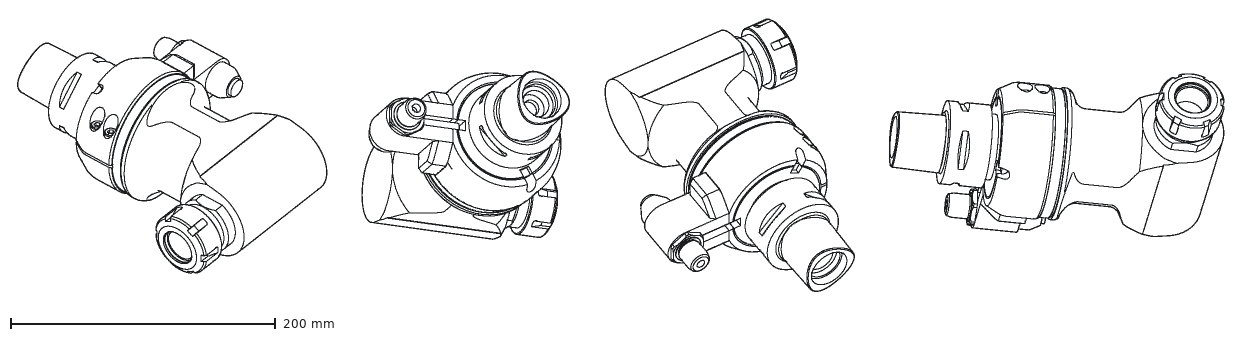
import cadquery as cq
import math


COLLAR_START = 38.2
COLLAR_END = 70.3
RING_FRONT = 76.2
RING_BACK = 115.6
RIM_START = 125.0
WAIST_START = 143.8
WAIST_END = 170.0
HEAD_START = 182.5
HEAD_END = 245.0

SHANK_RADIUS = 21.0
SHANK_TAPER = 0.025
LOBE_OFFSET = 1.7
LOBE_SAMPLES = 36
SHANK_LENGTH = 36.5
SHANK_END_CHAMFER = 0.7
COLLAR_RADIUS = 31.5
NECK_RADIUS = 25.0
RELIEF_FRONT_RADIUS = 22.5
RELIEF_BACK_RADIUS = 24.0
SHANK_BORES = [(31.4, 7.4), (28.0, 12.2), (21.0, 22.0), (12.5, 27.0)]
NOTCH_FLOOR = 28.0
NOTCH_FLOOR_WIDTH = 4.2
NOTCH_TOP_WIDTH = 8.0
NOTCH_X = 50.0
NOTCH_ANGLES = [45, 135, 225, 315]

RING_RADIUS = 51.0
RING_FRONT_RADIUS = 44.5
RING_BORE = 38.0
RING_CONE_LENGTH = 10.8
RING_CONE_RADIUS = 50.2
RING_BLEND_LENGTH = 14.7
RING_BACK_CHAMFER = (2.0, 1.0)
BORE_CHAMFER = 1.2
SLIT_WIDTH = 2.2
ARM_SEAT = 42.1

PIN_DIAMETER = 8.0
PIN_RADIUS = PIN_DIAMETER / 2
PIN_RECESS = 4.2
PIN_START = 35.3
PIN_END = 66.2
PIN_GROOVE_DEPTH = PIN_RECESS + PIN_DIAMETER
KEY_GROOVE_DEPTH = 8.5
GROOVE_COUNT = 3
GROOVE_START = 31.8
HUB_NOTCH_DEPTH = 3.7

SCREW_X = [93.8, 107.0]
SCREW_Y = -40.7
SCREW_TOP = 24.0
SCREW_HEAD_DIAMETER = 10.0
SCREW_HEAD_HEIGHT = 6.1
SCREW_HEAD_CHAMFER = 0.7
SCREW_SHANK_RADIUS = 2.5
SCREW_END = -19.5
SOCKET_WIDTH = 4.2
SOCKET_DEPTH = 3.0
POCKET_RADIUS = 5.6

BAND_RADIUS = 49.2
RIM_GROOVE_RADIUS = 48.5
RIM_GROOVE_WIDTH = 1.5
RIM_RADIUS = 50.2
WAIST_RADIUS = 36.0
FLAT_HEIGHT = 34.0
HEAD_HALF_LENGTH = 49.0
HEAD_RADIUS = 31.0
FLAT_END = 199.2
FLAT_STEP = 0.5
RIM_CUT_START = 127.6
RIM_CUT_END = 133.3
RIM_CUT_FILLET = 3.0
RIM_EDGE = (128.1, RIM_RADIUS)
RIM_ROUND_MID = (130.8, 48.5)
RIM_ROUND_END = (132.8, 45.0)
RIM_CONE_END = (135.5, 40.2)
WAIST_BLEND_MID = (139.0, 37.2)
FLARE_MID = (174.5, 37.5)
FLARE_END = (177.6, 40.7)
SHOULDER_POINTS = [(187.2, 51.7), (192.8, 54.5), (199.2, 57.0), (209.2, 59.0)]
RAMP_START = (205.0, 33.3)
RAMP_END_ANGLE = 78
SPINDLE_X = HEAD_END - HEAD_RADIUS

SPINDLE_FLANGE_RADIUS = 22.5
SPINDLE_FLANGE_END = 59.5
SPINDLE_CHAMFER = 2.5
SPINDLE_NECK_RADIUS = 20.0
SPINDLE_FLAT = 20.3
NUT_BACK = 67.4
NUT_FRONT = 90.5
NUT_RADIUS = 25.0
NUT_FACE_RADIUS = 18.9
NUT_SHOULDER = (23.8, 87.5)
NUT_RIM_END = 86.0
NUT_BACK_CHAMFER = 0.7
NUT_BORES = [(14.0, 89.0), (13.5, 86.2), (12.2, 67.4)]
NUT_SLOT_COUNT = 6
NUT_SLOT_WIDTH = 6.0
NUT_SLOT_FLOOR = 21.8
NUT_SLOT_START = 72.3
NUT_SLOT_FULL = 80.8

ARM_BACK = 110.2
ARM_HALF_WIDTH = 15.2
ARM_TIP = 96.3
ARM_ROUND_START = 82.3
WING_HALF_WIDTH = 29.5
WING_TOP = 57.3
SHOULDER_RAMP_END = (86.5, 27.0)
SHOULDER_END_X = 90.0
WING_CHAMFER_LENGTH = 3.7
WING_CHAMFER_WIDTH = 2.5
NOZZLE_Y = 80.4
HEX_ACROSS_FLATS = 26.7
HEX_ROUND_RADIUS = 14.7
HEX_THICKNESS = 3.7
HEX_CHAMFER = 1.0
HEX_RECESS_RADIUS = 11.0
HEX_RECESS_DEPTH = 0.7
NOZZLE_RADIUS = 9.3
NOZZLE_START = 54.6
NOZZLE_FACE_RADIUS = 6.9
NOZZLE_RIM = (55.5, 8.3)
NOZZLE_CHAMFER_END = 59.3
NOZZLE_ROOT_RADIUS = 8.5
NOZZLE_ROOT_LENGTH = 1.2
NOZZLE_BORES = [(6.5, 7.4), (2.5, 12.2)]
PLUG_RADIUS = 13.0
PLUG_CONE_START = [(118.8, PLUG_RADIUS), (120.0, 12.7)]
PLUG_CONE_END = (127.5, 8.8)
PLUG_TIP_RADIUS = 7.0
PLUG_END = 130.3


def turned_x(points, axis_y=0.0):
    """Solid of revolution about a line parallel to X, from (x, radius) outline points."""
    outline = cq.Workplane("XY").polyline(points).close()
    return outline.revolve(360, (0, 0, 0), (1, 0, 0)).translate((0, axis_y, 0))


def turned_spindle(points):
    """Solid of revolution about the spindle axis, from (radius, distance along -Y) points."""
    outline = cq.Workplane("XY").polyline([(r, -d) for r, d in points]).close()
    return outline.revolve(360, (0, 0, 0), (0, 1, 0)).translate((SPINDLE_X, 0, 0))


def rod_x(radius, start, end, axis_y=0.0):
    return turned_x([(start, 0), (start, radius), (end, radius), (end, 0)], axis_y)


def rod_z(radius, x, y, bottom, top):
    return cq.Workplane("XY", origin=(x, y, bottom)).circle(radius).extrude(top - bottom)


def box_between(x_range, y_range, z_range):
    size = [high - low for low, high in (x_range, y_range, z_range)]
    corner = (x_range[0], y_range[0], z_range[0])
    return cq.Workplane("XY").box(*size, centered=False).translate(corner)


def make_pin():
    """Round pin along +Y, sunk below the front plane in the bottom of its groove."""
    centre = RING_FRONT + PIN_GROOVE_DEPTH - PIN_RADIUS
    pin = cq.Workplane("XZ", origin=(centre, PIN_START, 0)).circle(PIN_RADIUS)
    return pin.extrude(PIN_START - PIN_END)


def flat_notch(index, depth):
    """Flat-bottomed radial notch in the hub, in line with the key groove of the same index."""
    notch = box_between(
        (RING_FRONT, RING_FRONT + depth), (GROOVE_START, RING_BORE), (-PIN_RADIUS, PIN_RADIUS)
    )
    return notch.rotate((0, 0, 0), (1, 0, 0), index * 360 / GROOVE_COUNT)


def key_groove(index, depth):
    """Radial round-bottomed groove; the one with index 0 points along +Y."""
    centre = RING_FRONT + depth - PIN_RADIUS
    groove = box_between((RING_FRONT, centre), (GROOVE_START, PIN_END), (-PIN_RADIUS, PIN_RADIUS))
    bottom = cq.Workplane("XZ", origin=(centre, PIN_END, 0)).circle(PIN_RADIUS)
    groove = groove.union(bottom.extrude(PIN_END - GROOVE_START))
    return groove.rotate((0, 0, 0), (1, 0, 0), index * 360 / GROOVE_COUNT)


def lobed_section(mean_radius, x):
    """Rounded three-lobed section with one lobe towards -Y."""
    points = []
    for step in range(LOBE_SAMPLES):
        t = 2 * math.pi * step / LOBE_SAMPLES
        y = mean_radius * math.cos(t) - LOBE_OFFSET * math.cos(2 * t)
        z = mean_radius * math.sin(t) + LOBE_OFFSET * math.sin(2 * t)
        points.append((y, z))
    return cq.Workplane("YZ", origin=(x, 0, 0)).spline(points, periodic=True).close().wires().val()


def collar_notch(angle):
    """Straight trapezoidal notch across the collar rim, centred on the given angle."""
    depth = COLLAR_RADIUS - NOTCH_FLOOR
    half_floor = NOTCH_FLOOR_WIDTH / 2
    half_top = NOTCH_TOP_WIDTH / 2
    outline = [
        (NOTCH_X - half_floor, 0),
        (NOTCH_X + half_floor, 0),
        (NOTCH_X + half_top, depth),
        (NOTCH_X - half_top, depth),
    ]
    notch = cq.Workplane("XZ").polyline(outline).close().extrude(COLLAR_RADIUS, both=True)
    return notch.translate((0, 0, NOTCH_FLOOR)).rotate((0, 0, 0), (1, 0, 0), angle)


def make_shank():
    end_radius = SHANK_RADIUS + SHANK_TAPER * SHANK_LENGTH
    taper = cq.Solid.makeLoft(
        [lobed_section(SHANK_RADIUS, 0), lobed_section(end_radius, SHANK_LENGTH)], True
    )
    shank = cq.Workplane(taper).faces("<X").chamfer(SHANK_END_CHAMFER)
    shank = shank.union(turned_x([
        (SHANK_LENGTH, 0),
        (SHANK_LENGTH, RELIEF_FRONT_RADIUS),
        (COLLAR_START, RELIEF_BACK_RADIUS),
        (COLLAR_START, 0),
    ]))
    shank = shank.union(rod_x(COLLAR_RADIUS, COLLAR_START, COLLAR_END))
    shank = shank.union(rod_x(NECK_RADIUS, COLLAR_END, RING_FRONT))
    for diameter, depth in SHANK_BORES:
        shank = shank.cut(rod_x(diameter / 2, 0, depth))
    for angle in NOTCH_ANGLES:
        shank = shank.cut(collar_notch(angle))
    return shank


def screw_pocket(x):
    floor = SCREW_TOP - SCREW_HEAD_HEIGHT
    pocket = rod_z(POCKET_RADIUS, x, SCREW_Y, floor, RING_RADIUS)
    return pocket.union(rod_z(SCREW_SHANK_RADIUS, x, SCREW_Y, SCREW_END, floor))


def make_clamp_ring():
    chamfer_length, chamfer_depth = RING_BACK_CHAMFER
    ring = turned_x([
        (RING_FRONT, RING_BORE + BORE_CHAMFER),
        (RING_FRONT, RING_FRONT_RADIUS),
        (RING_FRONT + RING_CONE_LENGTH, RING_CONE_RADIUS),
        (RING_FRONT + RING_BLEND_LENGTH, RING_RADIUS),
        (RING_BACK - chamfer_length, RING_RADIUS),
        (RING_BACK, RING_RADIUS - chamfer_depth),
        (RING_BACK, RING_BORE),
        (RING_FRONT + BORE_CHAMFER, RING_BORE),
    ])
    ring = ring.cut(box_between(
        (RING_FRONT, ARM_BACK), (ARM_SEAT, RING_RADIUS), (-RING_RADIUS, RING_RADIUS)
    ))
    ring = ring.cut(box_between(
        (RING_FRONT, RING_BACK), (-RING_RADIUS, 0), (-SLIT_WIDTH / 2, SLIT_WIDTH / 2)
    ))
    for x in SCREW_X:
        ring = ring.cut(screw_pocket(x))
    ring = ring.cut(key_groove(0, PIN_GROOVE_DEPTH))
    for index in range(1, GROOVE_COUNT):
        ring = ring.cut(key_groove(index, KEY_GROOVE_DEPTH))
    return ring


def make_screw(x):
    floor = SCREW_TOP - SCREW_HEAD_HEIGHT
    head = rod_z(SCREW_HEAD_DIAMETER / 2, x, SCREW_Y, floor, SCREW_TOP)
    head = head.faces(">Z").chamfer(SCREW_HEAD_CHAMFER)
    socket = cq.Workplane("XY", origin=(x, SCREW_Y, SCREW_TOP))
    socket = socket.polygon(6, SOCKET_WIDTH, circumscribed=True).extrude(-SOCKET_DEPTH)
    shank = rod_z(SCREW_SHANK_RADIUS, x, SCREW_Y, SCREW_END, floor)
    return head.cut(socket).union(shank)


def housing_turning():
    """Hub, rim and waist, flaring out to the rounded shoulders of the head."""
    outline = (
        cq.Workplane("XY")
        .moveTo(RING_FRONT, 0)
        .lineTo(RING_FRONT, RING_BORE)
        .lineTo(RING_BACK, RING_BORE)
        .lineTo(RING_BACK, BAND_RADIUS)
        .lineTo(RIM_START - RIM_GROOVE_WIDTH, BAND_RADIUS)
        .lineTo(RIM_START - RIM_GROOVE_WIDTH, RIM_GROOVE_RADIUS)
        .lineTo(RIM_START, RIM_GROOVE_RADIUS)
        .lineTo(RIM_START, RIM_RADIUS)
        .lineTo(*RIM_EDGE)
        .threePointArc(RIM_ROUND_MID, RIM_ROUND_END)
        .lineTo(*RIM_CONE_END)
        .threePointArc(WAIST_BLEND_MID, (WAIST_START, WAIST_RADIUS))
        .lineTo(WAIST_END, WAIST_RADIUS)
        .threePointArc(FLARE_MID, FLARE_END)
        .lineTo(HEAD_START, HEAD_HALF_LENGTH)
        .polyline(SHOULDER_POINTS, includeCurrent=True)
        .lineTo(HEAD_END, SHOULDER_POINTS[-1][1])
        .lineTo(HEAD_END, 0)
        .close()
    )
    return outline.revolve(360, (0, 0, 0), (1, 0, 0))


def head_envelope():
    """Side outline of the housing: flat top and bottom, tapering into a round end."""
    tangent_angle = math.radians(RAMP_END_ANGLE)
    ramp_end = (
        SPINDLE_X + HEAD_RADIUS * math.cos(tangent_angle),
        HEAD_RADIUS * math.sin(tangent_angle),
    )
    outline = (
        cq.Workplane("XZ")
        .moveTo(WAIST_START, -FLAT_HEIGHT)
        .lineTo(FLAT_END, -FLAT_HEIGHT)
        .lineTo(FLAT_END, FLAT_STEP - FLAT_HEIGHT)
        .lineTo(RAMP_START[0], -RAMP_START[1])
        .lineTo(ramp_end[0], -ramp_end[1])
        .threePointArc((HEAD_END, 0), ramp_end)
        .lineTo(*RAMP_START)
        .lineTo(FLAT_END, FLAT_HEIGHT - FLAT_STEP)
        .lineTo(FLAT_END, FLAT_HEIGHT)
        .lineTo(WAIST_START, FLAT_HEIGHT)
        .close()
    )
    return outline.extrude(HEAD_HALF_LENGTH, both=True)


def rim_envelope():
    """Part of the housing before the waist, trimmed by a sloping plane above and below."""
    trim_points = [(RIM_CUT_START, RIM_RADIUS), (RIM_CUT_END, FLAT_HEIGHT), (WAIST_START, FLAT_HEIGHT)]
    lower_points = [(x, -z) for x, z in reversed(trim_points)]
    outline = [(RING_FRONT, RIM_RADIUS)] + trim_points + lower_points + [(RING_FRONT, -RIM_RADIUS)]
    envelope = cq.Workplane("XZ").polyline(outline).close().extrude(RIM_RADIUS, both=True)
    for height in (FLAT_HEIGHT, -FLAT_HEIGHT):
        corner = cq.selectors.NearestToPointSelector((RIM_CUT_END, 0, height))
        envelope = envelope.edges("|Y").edges(corner).fillet(RIM_CUT_FILLET)
    return envelope


def make_housing():
    envelope = rim_envelope().union(head_envelope())
    housing = housing_turning().intersect(envelope)
    housing = housing.cut(flat_notch(0, PIN_GROOVE_DEPTH))
    for index in range(1, GROOVE_COUNT):
        housing = housing.cut(flat_notch(index, HUB_NOTCH_DEPTH))
    return housing


def spindle_flat(bottom, top):
    return box_between(
        (SPINDLE_X - SPINDLE_FLANGE_RADIUS, SPINDLE_X + SPINDLE_FLANGE_RADIUS),
        (-SPINDLE_FLANGE_END, -HEAD_HALF_LENGTH),
        (bottom, top),
    )


def nut_slot(index):
    """Wrench slot in the nut rim, open at the front and running out towards the back."""
    outline = [
        (NUT_RADIUS, -NUT_SLOT_START),
        (NUT_SLOT_FLOOR, -NUT_SLOT_FULL),
        (NUT_SLOT_FLOOR, -NUT_FRONT),
        (2 * NUT_RADIUS, -NUT_FRONT),
        (2 * NUT_RADIUS, -NUT_SLOT_START),
    ]
    slot = cq.Workplane("XY").polyline(outline).close().extrude(NUT_SLOT_WIDTH / 2, both=True)
    slot = slot.rotate((0, 0, 0), (0, 1, 0), index * 360 / NUT_SLOT_COUNT)
    return slot.translate((SPINDLE_X, 0, 0))


def make_spindle():
    spindle = turned_spindle([
        (0, HEAD_HALF_LENGTH),
        (SPINDLE_FLANGE_RADIUS, HEAD_HALF_LENGTH),
        (SPINDLE_FLANGE_RADIUS, SPINDLE_FLANGE_END - SPINDLE_CHAMFER),
        (SPINDLE_NECK_RADIUS, SPINDLE_FLANGE_END),
        (SPINDLE_NECK_RADIUS, NUT_BACK),
        (NUT_RADIUS - NUT_BACK_CHAMFER, NUT_BACK),
        (NUT_RADIUS, NUT_BACK + NUT_BACK_CHAMFER),
        (NUT_RADIUS, NUT_RIM_END),
        NUT_SHOULDER,
        (NUT_FACE_RADIUS, NUT_FRONT),
        (0, NUT_FRONT),
    ])
    spindle = spindle.cut(spindle_flat(SPINDLE_FLAT, SPINDLE_FLANGE_RADIUS))
    spindle = spindle.cut(spindle_flat(-SPINDLE_FLANGE_RADIUS, -SPINDLE_FLAT))
    for radius, inner_end in NUT_BORES:
        bore = [(0, NUT_FRONT), (radius, NUT_FRONT), (radius, inner_end), (0, inner_end)]
        spindle = spindle.cut(turned_spindle(bore))
    for index in range(NUT_SLOT_COUNT):
        spindle = spindle.cut(nut_slot(index))
    return spindle


def arm_bar():
    outline = (
        cq.Workplane("YZ", origin=(RING_FRONT, 0, 0))
        .moveTo(ARM_SEAT, -ARM_HALF_WIDTH)
        .lineTo(ARM_ROUND_START, -ARM_HALF_WIDTH)
        .threePointArc((ARM_TIP, 0), (ARM_ROUND_START, ARM_HALF_WIDTH))
        .lineTo(ARM_SEAT, ARM_HALF_WIDTH)
        .close()
    )
    return outline.extrude(ARM_BACK - RING_FRONT)


def arm_wings():
    """Foot of the arm: sloping front shoulders, chamfered all round its outer face."""
    shoulder = [(RING_FRONT, ARM_HALF_WIDTH), SHOULDER_RAMP_END, (SHOULDER_END_X, WING_HALF_WIDTH)]
    upper = shoulder + [(ARM_BACK, WING_HALF_WIDTH)]
    lower = [(x, -z) for x, z in reversed(upper)]
    chamfer_start = WING_TOP - WING_CHAMFER_LENGTH
    chamfer_angle = math.degrees(math.atan2(WING_CHAMFER_WIDTH, WING_CHAMFER_LENGTH))
    foot = cq.Workplane("XZ", origin=(0, ARM_SEAT, 0)).polyline(upper + lower).close()
    foot = foot.extrude(ARM_SEAT - chamfer_start)
    cap = cq.Workplane("XZ", origin=(0, chamfer_start, 0)).polyline(upper + lower).close()
    return foot.union(cap.extrude(-WING_CHAMFER_LENGTH, taper=chamfer_angle))


def coolant_nozzle():
    """Stepped nozzle on a hexagonal collar in front of the arm."""
    hex_front = RING_FRONT - HEX_THICKNESS
    tip = turned_x([
        (NOZZLE_START, 0),
        (NOZZLE_START, NOZZLE_FACE_RADIUS),
        NOZZLE_RIM,
        (NOZZLE_CHAMFER_END, NOZZLE_RADIUS),
        (hex_front - NOZZLE_ROOT_LENGTH, NOZZLE_RADIUS),
        (hex_front, NOZZLE_ROOT_RADIUS),
        (RING_FRONT, NOZZLE_ROOT_RADIUS),
        (RING_FRONT, 0),
    ], NOZZLE_Y)
    hexagon = cq.Workplane("YZ", origin=(hex_front, NOZZLE_Y, 0))
    hexagon = hexagon.polygon(6, HEX_ACROSS_FLATS, circumscribed=True).extrude(HEX_THICKNESS)
    hexagon = hexagon.intersect(turned_x([
        (hex_front, 0),
        (hex_front, HEX_ROUND_RADIUS - HEX_CHAMFER),
        (hex_front + HEX_CHAMFER, HEX_ROUND_RADIUS),
        (RING_FRONT, HEX_ROUND_RADIUS),
        (RING_FRONT, 0),
    ], NOZZLE_Y))
    recess_floor = hex_front + HEX_RECESS_DEPTH
    hexagon = hexagon.cut(rod_x(HEX_RECESS_RADIUS, hex_front, recess_floor, NOZZLE_Y))
    nozzle = tip.union(hexagon)
    for diameter, depth in NOZZLE_BORES:
        nozzle = nozzle.cut(rod_x(diameter / 2, NOZZLE_START, NOZZLE_START + depth, NOZZLE_Y))
    return nozzle


def coolant_plug():
    return turned_x([
        (ARM_BACK, 0),
        (ARM_BACK, PLUG_RADIUS),
        *PLUG_CONE_START,
        PLUG_CONE_END,
        (PLUG_CONE_END[0], PLUG_TIP_RADIUS),
        (PLUG_END, PLUG_TIP_RADIUS),
        (PLUG_END, 0),
    ], NOZZLE_Y)


def make_arm():
    arm = arm_bar().union(arm_wings()).cut(key_groove(0, PIN_GROOVE_DEPTH))
    return arm.union(coolant_nozzle()).union(coolant_plug())


shank = make_shank()
clamp_ring = make_clamp_ring()
housing = make_housing()
spindle = make_spindle()
arm = make_arm()
pin = make_pin()
screws = [make_screw(x) for x in SCREW_X]

bodies = [shank, clamp_ring, housing, spindle, arm, pin, *screws]
result = cq.Compound.makeCompound([body.solids().val() for body in bodies])